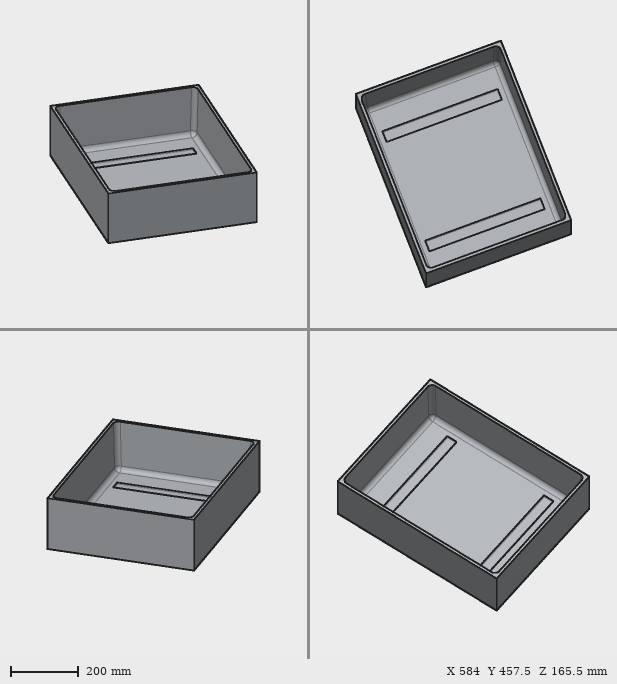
import cadquery as cq

length = 584.0
width = 457.5
height = 165.5

rim = 10.0
floor_thickness = 10.0
wall_draft = 2.0
inner_radius = 16.0

strip_length = 363.5
strip_width = 35.0
strip_spacing = 356.0
strip_depth = 3.0
strip_radius = 2.0
strip_draft = 10


def tray_body():
    return cq.Workplane("XY").box(length, width, height, centered=(True, True, False))


def cavity():
    """Open-topped cavity whose walls lean inward toward a rounded floor."""
    return (
        cq.Workplane("XY")
        .workplane(offset=height)
        .rect(length - 2 * rim, width - 2 * rim)
        .extrude(floor_thickness - height, taper=wall_draft)
        .edges("not >Z")
        .fillet(inner_radius)
    )


def floor_strips():
    """Two long shallow drafted pockets with rounded inner edges, one near each end of the floor."""
    return (
        cq.Workplane("XY")
        .workplane(offset=floor_thickness)
        .pushPoints([(side * strip_spacing / 2, 0) for side in (-1, 1)])
        .rect(strip_width, strip_length)
        .extrude(-strip_depth, taper=strip_draft)
        .edges("not >Z")
        .fillet(strip_radius)
    )


result = tray_body().cut(cavity()).cut(floor_strips())